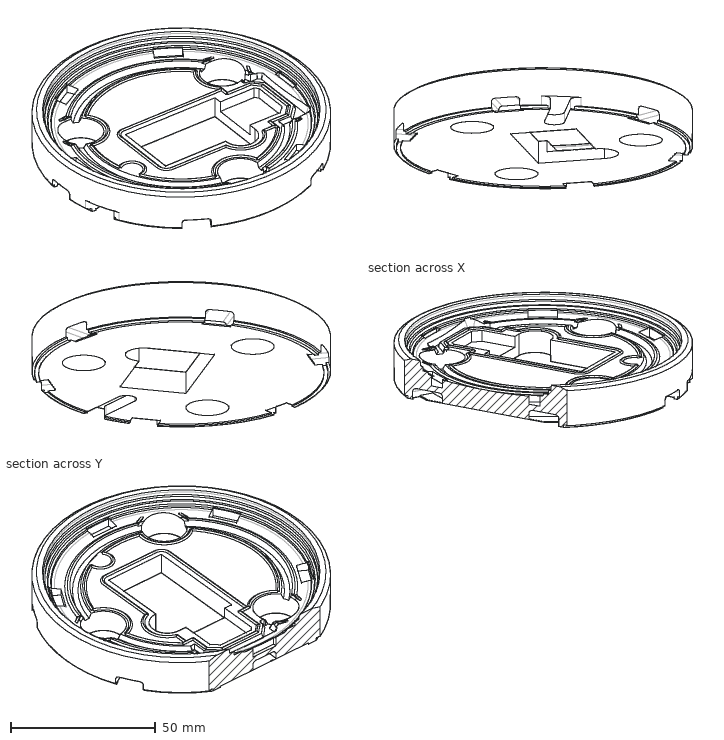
import cadquery as cq
import math

HEIGHT = 14.79
FLOOR_Z = 8.45
GROOVE_Z = 6.8
PAD_Z = 6.3
TRAY_Z = 4.45
NOTCH_TOP_Z = 4.1
SKIRT_Z = 0.94
BASE_Z = 0.5

OUTER_R = 51.8
RIM_CHAMFER_WIDTH = 1.6
RIM_CHAMFER_HEIGHT = 1.0
SKIRT_R = 50.9
SKIRT_INNER_R = 49.5

GROOVE_INNER_R = (35.8, 34.9)
GROOVE_OUTER_R = (37.7, 38.6)
WALL_DRAFT = 0.9
LEDGE_Z = 8.95
LEDGE_OUTER_R = 39.5
LEDGE_RIB_WIDTH = 0.9
HOLE_RIB_START = (39.0, 8.7)
HOLE_RIB_END = (41.9, 6.5)
POCKET_RIB_START = (21.5, 32.8)
POCKET_RIB_END = (21.5, 35.8)
SLOPE_FOOT_R = 40.4
SLOPE_FOOT_Z = 8.5
ABOVE = 20.0

HOLE_ORBIT_R = 35.0
HOLE_ANGLES = (0, 120, 240)
HOLE_BOTTOM_R = 7.4
HOLE_TOP_R = 8.0
LEDGE_GAP_R = 9.2

WINDOW_X = (-6.76, 16.93)
WINDOW_Y = (-19.0, 19.3)
BAY_CENTER = (17.07, 13.02)
BAY_R = WINDOW_Y[1] - BAY_CENTER[1]
TRAY_X = (-3.6, 13.9)
TRAY_TOP_Y = 35.0
TRAY_LEFT_CORNER = 1.2
TRAY_RIGHT_CORNER = 2.7

POCKET_X = (-9.4, 19.4)
POCKET_Y = (29.5, 40.4)
POCKET_TOP_Z = 9.9
POCKET_LEFT_CHAMFER = 1.0
POCKET_RIGHT_RADIUS = 1.5
ISLAND_OUTLINE = [
    (-12.0, 20.0),
    (-12.0, 33.5),
    (-8.6, 33.5),
    (-8.6, 35.1),
    (-4.3, 39.5),
    (13.1, 39.5),
    (18.5, 34.2),
    (18.5, 28.6),
    (20.2, 28.6),
    (20.2, 20.0),
]

PAD_ANGLES = (-150, -90, -30, 30, 90, 150)
PAD_WIDTH = 10.2
PAD_INNER_R = 41.4
POCKET_PAD_INNER_R = 44.1
PAD_OUTER_R = 45.6
PAD_WALL_TOP_Z = 9.9
NOTCH_FILLET = 1.3
NOTCH_FLOOR_R = 46.5

SLOT_ANGLE = -68.3
SLOT_END_R = 31.9
SLOT_HALF_WIDTH = 3.5
SLOT_FLARE_R = 3.0

BEAD_HALF_WIDTH = 0.63
BEAD_HEIGHT = 0.48
BEAD_ROOT = 0.2
BEAD_RING_R = 33.55
HOLE_BEAD_R = 9.4
BOSS_BEAD_R = 4.4
BAY_BEAD_R = 8.4
BEAD_LEFT_X = -9.5
BEAD_RIGHT_X = 19.5
BEAD_BOTTOM_Y = -21.45
BEAD_CORNER_R = 3.4
TRAY_BEAD = [
    (-6.3, 24.2),
    (-6.3, 34.3),
    (-3.3, 37.1),
    (12.3, 37.1),
    (16.3, 33.4),
    (16.3, 26.15),
]


def polar(radius, angle):
    return radius * math.cos(math.radians(angle)), radius * math.sin(math.radians(angle))


def turn(solid, angle):
    return solid.rotate((0, 0, 0), (0, 0, 1), angle)


def revolve(points):
    """Solid of revolution about Z from (radius, height) points."""
    return cq.Workplane("XZ").polyline(points).close().revolve(360, (0, 0, 0), (0, 1, 0))


def block(x_range, y_range, z_range):
    size_x = x_range[1] - x_range[0]
    size_y = y_range[1] - y_range[0]
    size_z = z_range[1] - z_range[0]
    return (
        cq.Workplane("XY")
        .box(size_x, size_y, size_z, centered=False)
        .translate((x_range[0], y_range[0], z_range[0]))
    )


def cylinder(center, radius, z_range):
    return (
        cq.Workplane("XY", origin=(center[0], center[1], z_range[0]))
        .circle(radius)
        .extrude(z_range[1] - z_range[0])
    )


def make_body():
    """Dish with a skirt underneath and a stepped bore above a gently sloped shoulder."""
    return revolve([
        (0, BASE_Z),
        (SKIRT_INNER_R, BASE_Z),
        (SKIRT_INNER_R, 0),
        (SKIRT_R, 0),
        (SKIRT_R, SKIRT_Z),
        (OUTER_R, SKIRT_Z),
        (OUTER_R, HEIGHT - RIM_CHAMFER_HEIGHT),
        (OUTER_R - RIM_CHAMFER_WIDTH, HEIGHT),
        (48.1, HEIGHT),
        (47.9, 14.1),
        (47.9, 12.9),
        (47.35, 12.5),
        (47.35, 11.2),
        (46.5, 11.2),
        (46.2, 10.2),
        (45.3, 10.0),
        (45.1, 9.4),
        (44.0, 9.3),
        (SLOPE_FOOT_R, SLOPE_FOOT_Z),
        (SLOPE_FOOT_R, FLOOR_Z),
        (0, FLOOR_Z),
    ])


def ledge_rib(start, end):
    """Short level rib that runs from an end of the ledge into the rising shoulder."""
    run_x = end[0] - start[0]
    run_y = end[1] - start[1]
    half = LEDGE_RIB_WIDTH / 2
    rib = block((0, math.hypot(run_x, run_y)), (-half, half), (GROOVE_Z, LEDGE_Z))
    return turn(rib, math.degrees(math.atan2(run_y, run_x))).translate((start[0], start[1], 0))


def make_ledge():
    """Raised ring outside the groove, interrupted around each hole, with ribs at its ends."""
    ledge = revolve([
        (GROOVE_OUTER_R[0], GROOVE_Z),
        (SLOPE_FOOT_R, GROOVE_Z),
        (SLOPE_FOOT_R, SLOPE_FOOT_Z),
        (LEDGE_OUTER_R, LEDGE_Z),
        (GROOVE_OUTER_R[0], LEDGE_Z),
    ])
    for angle in HOLE_ANGLES:
        gap = cylinder(polar(HOLE_ORBIT_R, angle), LEDGE_GAP_R, (FLOOR_Z, ABOVE))
        ledge = ledge.cut(gap)
    hole_rib = ledge_rib(HOLE_RIB_START, HOLE_RIB_END)
    for angle in HOLE_ANGLES:
        ledge = ledge.union(turn(hole_rib, angle))
        ledge = ledge.union(turn(hole_rib.mirror("XZ"), angle))
    return ledge.union(ledge_rib(POCKET_RIB_START, POCKET_RIB_END))


def make_groove():
    """Drafted groove plus the corner pocket, less the island."""
    ring = revolve([
        (GROOVE_INNER_R[0], GROOVE_Z),
        (GROOVE_OUTER_R[0], GROOVE_Z),
        (GROOVE_OUTER_R[1], LEDGE_Z),
        (GROOVE_OUTER_R[1], ABOVE),
        (GROOVE_INNER_R[1], ABOVE),
        (GROOVE_INNER_R[1], FLOOR_Z),
    ])
    draft = math.degrees(math.atan(WALL_DRAFT / (LEDGE_Z - GROOVE_Z)))
    pocket = (
        cq.Workplane("XY", origin=(0, 0, GROOVE_Z))
        .moveTo(POCKET_X[0], POCKET_Y[0])
        .lineTo(POCKET_X[0], POCKET_Y[1] - POCKET_LEFT_CHAMFER)
        .lineTo(POCKET_X[0] + POCKET_LEFT_CHAMFER, POCKET_Y[1])
        .lineTo(POCKET_X[1] - POCKET_RIGHT_RADIUS, POCKET_Y[1])
        .radiusArc((POCKET_X[1], POCKET_Y[1] - POCKET_RIGHT_RADIUS), POCKET_RIGHT_RADIUS)
        .lineTo(POCKET_X[1], POCKET_Y[0])
        .close()
        .extrude(POCKET_TOP_Z - GROOVE_Z, taper=-draft)
    )
    island = (
        cq.Workplane("XY", origin=(0, 0, GROOVE_Z))
        .polyline(ISLAND_OUTLINE)
        .close()
        .extrude(FLOOR_Z - GROOVE_Z, taper=draft)
    )
    return ring.union(pocket).cut(island)


def make_holes():
    taper_hole = revolve([(0, 0), (HOLE_BOTTOM_R, 0), (HOLE_TOP_R, LEDGE_Z), (HOLE_TOP_R, ABOVE), (0, ABOVE)])
    holes = cq.Workplane("XY")
    for angle in HOLE_ANGLES:
        x, y = polar(HOLE_ORBIT_R, angle)
        holes = holes.add(taper_hole.translate((x, y, 0)))
    return holes.combine()


def make_window():
    window = block(WINDOW_X, WINDOW_Y, (0, ABOVE))
    return window.union(cylinder(BAY_CENTER, BAY_R, (0, ABOVE)))


def make_tray():
    tray = block(TRAY_X, (WINDOW_Y[0], TRAY_TOP_Y), (TRAY_Z, ABOVE))
    tray = tray.edges("|Z and >Y and <X").chamfer(TRAY_LEFT_CORNER)
    return tray.edges("|Z and >Y and >X").chamfer(TRAY_RIGHT_CORNER)


def make_pad(angle):
    """Flat-bottomed recess in the sloped shoulder."""
    inner_r = POCKET_PAD_INNER_R if angle == 90 else PAD_INNER_R
    half = PAD_WIDTH / 2
    return turn(block((inner_r, PAD_OUTER_R), (-half, half), (PAD_Z, PAD_WALL_TOP_Z)), angle)


def make_notch(angle):
    """Recess through the rim from outside, with rounded upper corners and an open bottom at the rim."""
    half = PAD_WIDTH / 2
    notch = block((PAD_INNER_R, OUTER_R + 2 * NOTCH_FILLET), (-half, half), (SKIRT_Z, NOTCH_TOP_Z))
    notch = notch.edges("|X and >Z").fillet(NOTCH_FILLET)
    gap = block((NOTCH_FLOOR_R, OUTER_R + NOTCH_FILLET), (-half, half), (0, NOTCH_TOP_Z / 2))
    return turn(notch.union(gap), angle)


def make_slot():
    """Radial slot with a round inner end and convex flares at its mouth."""
    half = SLOT_HALF_WIDTH
    flare_v = half + SLOT_FLARE_R
    flare_orbit = OUTER_R - SLOT_FLARE_R
    flare_u = math.sqrt(flare_orbit**2 - flare_v**2)
    mouth_u = flare_u * OUTER_R / flare_orbit
    mouth_v = flare_v * OUTER_R / flare_orbit
    mid_angle = math.atan2(flare_v, flare_u) / 2 - math.pi / 4
    mid_u = flare_u + SLOT_FLARE_R * math.cos(mid_angle)
    mid_v = flare_v + SLOT_FLARE_R * math.sin(mid_angle)
    slot = (
        cq.Workplane("XY")
        .moveTo(SLOT_END_R, -half)
        .lineTo(flare_u, -half)
        .threePointArc((mid_u, -mid_v), (mouth_u, -mouth_v))
        .lineTo(OUTER_R + 1, -mouth_v)
        .lineTo(OUTER_R + 1, mouth_v)
        .lineTo(mouth_u, mouth_v)
        .threePointArc((mid_u, mid_v), (flare_u, half))
        .lineTo(SLOT_END_R, half)
        .threePointArc((SLOT_END_R - half, 0), (SLOT_END_R, -half))
        .close()
        .extrude(NOTCH_TOP_Z)
    )
    return turn(slot, SLOT_ANGLE)


def bead_profile(plane, offset=0.0):
    """Ridge cross-section standing on the floor, its crest at the given offset."""
    left = offset - BEAD_HALF_WIDTH
    right = offset + BEAD_HALF_WIDTH
    points = [(left, -BEAD_ROOT), (right, -BEAD_ROOT), (right, 0), (offset, BEAD_HEIGHT), (left, 0)]
    return cq.Workplane(plane).polyline(points).close()


def straight_bead(start, end):
    run_x = end[0] - start[0]
    run_y = end[1] - start[1]
    plane = cq.Plane(origin=(start[0], start[1], FLOOR_Z), xDir=(-run_y, run_x, 0), normal=(run_x, run_y, 0))
    return bead_profile(plane).extrude(math.hypot(run_x, run_y))


def corner_bead(point):
    """Round peak that closes the bead where two straight stretches meet."""
    peak = revolve([
        (0, FLOOR_Z - BEAD_ROOT),
        (BEAD_HALF_WIDTH, FLOOR_Z - BEAD_ROOT),
        (BEAD_HALF_WIDTH, FLOOR_Z),
        (0, FLOOR_Z + BEAD_HEIGHT),
    ])
    return peak.translate((point[0], point[1], 0))


def arc_bead(center, radius, start_angle, end_angle):
    """Bead along an arc, counter-clockwise from start_angle to end_angle."""
    plane = cq.Plane(origin=(0, 0, FLOOR_Z), xDir=(1, 0, 0), normal=(0, -1, 0))
    arc = bead_profile(plane, radius).revolve((end_angle - start_angle) % 360, (0, 0, 0), (0, 1, 0))
    return turn(arc, start_angle).translate((center[0], center[1], 0))


def half_span(near_r, far_r, distance):
    """Half angle, seen from one circle's centre, between its crossings with another circle."""
    cosine = (near_r**2 + distance**2 - far_r**2) / (2 * near_r * distance)
    return math.degrees(math.acos(cosine))


def make_beads():
    beads = []
    hole_span = half_span(BEAD_RING_R, HOLE_BEAD_R, HOLE_ORBIT_R)
    boss_span = half_span(BEAD_RING_R, BOSS_BEAD_R, SLOT_END_R)
    hole_turn = half_span(HOLE_BEAD_R, BEAD_RING_R, HOLE_ORBIT_R)
    boss_turn = half_span(BOSS_BEAD_R, BEAD_RING_R, SLOT_END_R)
    tray_start = TRAY_BEAD[0]
    tray_end = TRAY_BEAD[-1]

    last_angle = math.degrees(math.asin(tray_end[1] / BEAD_RING_R))
    stretches = [
        (120 + hole_span, 240 - hole_span),
        (240 + hole_span, 360 + SLOT_ANGLE - boss_span),
        (SLOT_ANGLE + boss_span, -hole_span),
        (hole_span, last_angle),
    ]
    for start_angle, end_angle in stretches:
        beads.append(arc_bead((0, 0), BEAD_RING_R, start_angle, end_angle))

    for angle in (0, 240):
        inward = angle + 180
        center = polar(HOLE_ORBIT_R, angle)
        beads.append(arc_bead(center, HOLE_BEAD_R, inward - hole_turn, inward + hole_turn))
    boss_in = SLOT_ANGLE + 180
    boss_center = polar(SLOT_END_R, SLOT_ANGLE)
    beads.append(arc_bead(boss_center, BOSS_BEAD_R, boss_in - boss_turn, boss_in + boss_turn))
    upper_hole = polar(HOLE_ORBIT_R, 120)
    join_angle = math.degrees(math.asin((tray_start[1] - upper_hole[1]) / HOLE_BEAD_R))
    beads.append(arc_bead(upper_hole, HOLE_BEAD_R, 300 - hole_turn, 360 + join_angle))

    join_x = upper_hole[0] + HOLE_BEAD_R * math.cos(math.radians(join_angle))
    ring_x = BEAD_RING_R * math.cos(math.radians(last_angle))
    tray_path = [(join_x, tray_start[1])] + TRAY_BEAD + [(ring_x, tray_end[1])]
    for start, end in zip(tray_path, tray_path[1:]):
        beads.append(straight_bead(start, end))
    for point in tray_path:
        beads.append(corner_bead(point))

    left_corner = (BEAD_LEFT_X + BEAD_CORNER_R, BEAD_BOTTOM_Y + BEAD_CORNER_R)
    right_corner = (BEAD_RIGHT_X - BEAD_CORNER_R, left_corner[1])
    bay_angle = math.degrees(math.acos((BEAD_RIGHT_X - BAY_CENTER[0]) / BAY_BEAD_R))
    bay_rise = BAY_BEAD_R * math.sin(math.radians(bay_angle))
    bay_top = (BEAD_RIGHT_X, BAY_CENTER[1] + bay_rise)
    bay_bottom = (BEAD_RIGHT_X, BAY_CENTER[1] - bay_rise)
    beads.append(straight_bead((BEAD_LEFT_X, tray_start[1]), (BEAD_LEFT_X, left_corner[1])))
    beads.append(arc_bead(left_corner, BEAD_CORNER_R, 180, 270))
    beads.append(straight_bead((left_corner[0], BEAD_BOTTOM_Y), (right_corner[0], BEAD_BOTTOM_Y)))
    beads.append(arc_bead(right_corner, BEAD_CORNER_R, 270, 360))
    beads.append(straight_bead((BEAD_RIGHT_X, right_corner[1]), bay_bottom))
    beads.append(arc_bead(BAY_CENTER, BAY_BEAD_R, -bay_angle, bay_angle))
    beads.append(straight_bead(bay_top, (BEAD_RIGHT_X, tray_end[1])))
    return beads


result = make_body().union(make_ledge()).cut(make_groove())
for bead in make_beads():
    result = result.union(bead)
for pad_angle in PAD_ANGLES:
    result = result.cut(make_pad(pad_angle)).cut(make_notch(pad_angle))
result = result.cut(make_slot()).cut(make_window()).cut(make_tray()).cut(make_holes())